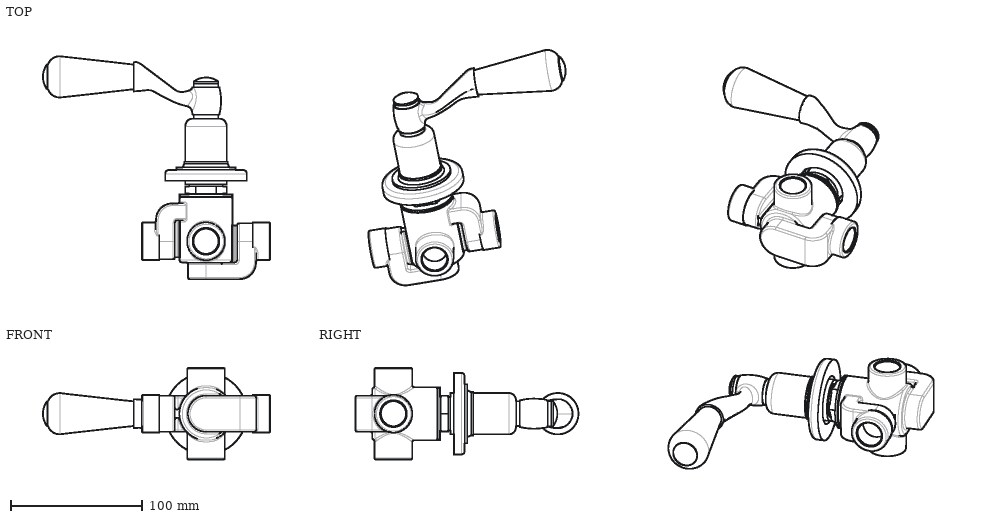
import cadquery as cq
import math


BODY_RADIUS = 40.6 / 2
BODY_BOTTOM = -16.2
BODY_TOP = 35.7
BODY_BOTTOM_ROUND = 2.0
RIM_GROOVE_RADIUS = 38.6 / 2
RIM_GROOVE_BOTTOM = 33.4
RIM_GROOVE_HEIGHT = 0.6

PORT_RADIUS = 28.9 / 2
PORT_ROUND = 1.25
BORE_RADIUS = 19.05 / 2
BORE_DEPTH = 16.0
BORE_CHAMFER = 0.75
CROSS_PORT_REACH = 70.0 / 2
SIDE_PORT_REACH = 49.0
SIDE_PORT_START = 35.6
JOINT_FILLET = 1.4
ELBOW_JOINT_FILLET = 1.3

ELBOW_HALF_WIDTH = 13.8
ELBOW_INNER_X = 23.7
ELBOW_OUTER_X = 38.2
ELBOW_INNER_Y = -BODY_BOTTOM
ELBOW_OUTER_Y = 29.0
ELBOW_OUTER_BEND = 12.6
ELBOW_INNER_BEND = 2.0
ELBOW_EDGE_ROUND = 1.5

WEB_THICKNESS = 6.35
WEB_END_Y = 12.2
WEB_FILLET = 1.4
WEB_OVERLAP = 1.0

SPINDLE_RADIUS = 25.7 / 2
NUT_BOTTOM = 36.3
NUT_TOP = 41.8
NUT_CORNER_DIAMETER = 31.75

BONNET_RADIUS = 31.75 / 2
BONNET_BOTTOM = 43.5
BONNET_TOP = 93.6
BONNET_ROUND = 5.7
SHOULDER_RADIUS = 22.6
FLARE_BOTTOM_RADIUS = 17.9
FLARE_BOTTOM = 56.4
BEAD_RADIUS = 33.3 / 2
BEAD_BOTTOM = 59.2
BEAD_TOP = 60.8

FLANGE_RADIUS = 31.2
FLANGE_BOTTOM = 46.1
FLANGE_TOP = 54.4
FLANGE_ROUND = 2.7
FLANGE_HOLE_RADIUS = 37.0 / 2

HUB_NECK_RADIUS = 19.05 / 2
HUB_END_RADIUS = 10.25
HUB_BELLY_RADIUS = 11.6
HUB_BOTTOM = 96.5
HUB_TOP = 117.7
HUB_NECK_TOP = 120.3
BUTTON_EDGE = 121.8
BUTTON_TOP = 125.05

GRIP_MAX_RADIUS = 31.75 / 2
OVERALL_LENGTH_Y = 170.28
GRIP_AXIS_Y = OVERALL_LENGTH_Y - ELBOW_OUTER_Y - GRIP_MAX_RADIUS
GRIP_INNER_X = -55.3
GRIP_INNER_RADIUS = 19.05 / 2
GRIP_WIDEST_X = -111.6
GRIP_END_ROUND = 9.525
GRIP_ROUND_MID_ANGLE = 120.0
CAP_RADIUS = 19.05 / 2
CAP_EDGE_X = -121.3
OVERALL_LENGTH_X = 173.52
CAP_TIP_X = SIDE_PORT_REACH - OVERALL_LENGTH_X

COLLAR_RADIUS = 22.3 / 2
COLLAR_END_X = -51.5
COLLAR_END_RADIUS = 10.9
ARM_WIDTH = 15.0
ARM_JOINT_FILLET = 4.6
COLLAR_SECTIONS = [
    ((x, GRIP_AXIS_Y - radius), (x, GRIP_AXIS_Y + radius), 2 * radius)
    for x, radius in ((GRIP_INNER_X, COLLAR_RADIUS), (COLLAR_END_X, COLLAR_END_RADIUS))
]
ARM_SECTIONS = [
    ((-45.2, 115.2), (-44.2, 131.0), 22.0),
    ((-41.0, 114.7), (-35.7, 124.7), 20.5),
    ((-28.7, 108.1), (-24.1, 115.9), 16.0),
    ((-17.0, 103.5), (-17.0, 114.1), ARM_WIDTH),
    ((0.0, 103.5), (0.0, 114.1), ARM_WIDTH),
]


def turned_about_valve_axis(outline):
    return outline.close().revolve(360, (0, 0, 0), (0, 1, 0))


def cylinder_along_x(radius, start, end):
    return cq.Workplane("YZ").workplane(offset=start).circle(radius).extrude(end - start)


def cylinder_along_y(radius, start, end):
    return cq.Workplane("XZ").workplane(offset=-start).circle(radius).extrude(start - end)


def half_turn(part):
    return part.rotate((0, 0, 0), (0, 0, 1), 180)


def elbow_blank():
    """Sharp-edged bent arm on the +X, -Y side, from the valve axis to the X axis."""
    blank = (
        cq.Workplane("XY")
        .moveTo(0, -ELBOW_OUTER_Y)
        .lineTo(ELBOW_OUTER_X, -ELBOW_OUTER_Y)
        .lineTo(ELBOW_OUTER_X, 0)
        .lineTo(ELBOW_INNER_X, 0)
        .lineTo(ELBOW_INNER_X, -ELBOW_INNER_Y)
        .lineTo(0, -ELBOW_INNER_Y)
        .close()
        .extrude(ELBOW_HALF_WIDTH, both=True)
    )
    outer_corner = cq.selectors.NearestToPointSelector((ELBOW_OUTER_X, -ELBOW_OUTER_Y, 0))
    inner_corner = cq.selectors.NearestToPointSelector((ELBOW_INNER_X, -ELBOW_INNER_Y, 0))
    blank = blank.edges("|Z").edges(outer_corner).fillet(ELBOW_OUTER_BEND)
    blank = blank.edges("|Z").edges(inner_corner).fillet(ELBOW_INNER_BEND)
    return blank.union(cylinder_along_x(ELBOW_HALF_WIDTH, ELBOW_INNER_X, ELBOW_OUTER_X))


def round_elbow(blank):
    """Round both edge loops; each fillet runs on along the tangent edges from the leg's end arc."""
    for face_x in (ELBOW_INNER_X, ELBOW_OUTER_X):
        end_arc = cq.selectors.NearestToPointSelector((face_x, ELBOW_HALF_WIDTH, 0))
        blank = blank.edges("%CIRCLE").edges(end_arc).fillet(ELBOW_EDGE_ROUND)
    return blank


def foot_joint():
    """Slice of the elbow against the flat bottom of the body, with a concave fillet around it."""
    flat_radius = BODY_RADIUS - BODY_BOTTOM_ROUND
    stadium = (
        cq.Workplane("XZ", origin=(0, -ELBOW_OUTER_Y, 0))
        .moveTo(ELBOW_OUTER_X, ELBOW_HALF_WIDTH)
        .lineTo(0, ELBOW_HALF_WIDTH)
        .threePointArc((-ELBOW_HALF_WIDTH, 0), (0, -ELBOW_HALF_WIDTH))
        .lineTo(ELBOW_OUTER_X, -ELBOW_HALF_WIDTH)
        .close()
        .extrude(ELBOW_INNER_Y - ELBOW_OUTER_Y)
    )
    plate_reach = 2 * ELBOW_OUTER_X
    plate = cq.Workplane("XZ", origin=(0, BODY_BOTTOM, 0)).rect(plate_reach, plate_reach)
    plate = plate.extrude(-JOINT_FILLET)
    joint_edges = cq.selectors.BoxSelector(
        (-ELBOW_OUTER_X / 2, BODY_BOTTOM - JOINT_FILLET / 2, -ELBOW_HALF_WIDTH - JOINT_FILLET),
        (ELBOW_OUTER_X - JOINT_FILLET, BODY_BOTTOM + JOINT_FILLET / 2, ELBOW_HALF_WIDTH + JOINT_FILLET),
    )
    filleted = plate.union(stadium).edges(joint_edges).fillet(JOINT_FILLET)
    return filleted.intersect(cylinder_along_y(flat_radius, BODY_BOTTOM - ELBOW_EDGE_ROUND, BODY_BOTTOM))


def footed_elbow():
    """Elbow with a round foot; under the body its upper edges stay sharp to meet the flat bottom."""
    foot = cylinder_along_y(ELBOW_HALF_WIDTH, -ELBOW_OUTER_Y, -ELBOW_INNER_Y)
    blank = elbow_blank().union(foot)
    return round_elbow(blank).union(foot_joint())


def cross_ports():
    ports = cq.Workplane("XY").circle(PORT_RADIUS).extrude(CROSS_PORT_REACH, both=True)
    return ports.faces("<Z or >Z").edges().fillet(PORT_ROUND)


def side_port():
    port = cylinder_along_x(PORT_RADIUS, SIDE_PORT_START, SIDE_PORT_REACH)
    return port.faces(">X").edges().fillet(PORT_ROUND)


def join_side_port(arm):
    """Add the port to an elbow, with a fillet where the port stands out of the elbow's outer face."""
    arm = arm.union(side_port())
    port_joint = cq.selectors.BoxSelector(
        (ELBOW_OUTER_X - ELBOW_EDGE_ROUND / 2, -PORT_RADIUS, -PORT_RADIUS),
        (ELBOW_OUTER_X + ELBOW_EDGE_ROUND / 2, -PORT_RADIUS / 3, PORT_RADIUS),
    )
    return arm.edges(port_joint).edges("not %LINE").fillet(ELBOW_JOINT_FILLET)


def port_bore(plane, reach):
    bore = cq.Workplane(plane).workplane(offset=reach - BORE_DEPTH).circle(BORE_RADIUS).extrude(BORE_DEPTH)
    mouth = (
        cq.Workplane(plane)
        .workplane(offset=reach - BORE_CHAMFER)
        .circle(BORE_RADIUS)
        .workplane(offset=BORE_CHAMFER)
        .circle(BORE_RADIUS + BORE_CHAMFER)
        .loft()
    )
    return bore.union(mouth)


def web():
    """Thin wall between the body and the elbow leg, with a concave fillet at each end of its section."""
    half = WEB_THICKNESS / 2
    flared_half = half + WEB_FILLET
    root_x = BODY_RADIUS - WEB_OVERLAP
    diagonal = WEB_FILLET * (1 - math.sqrt(0.5))
    body_end = BODY_RADIUS + WEB_FILLET
    leg_end = ELBOW_INNER_X - WEB_FILLET
    half_section = (
        cq.Workplane("XZ", origin=(0, -ELBOW_INNER_Y, 0))
        .moveTo(root_x, 0)
        .lineTo(root_x, flared_half)
        .lineTo(BODY_RADIUS, flared_half)
        .threePointArc((BODY_RADIUS + diagonal, half + diagonal), (body_end, half))
        .lineTo(leg_end, half)
        .threePointArc((ELBOW_INNER_X - diagonal, half + diagonal), (ELBOW_INNER_X, flared_half))
        .lineTo(ELBOW_INNER_X + WEB_OVERLAP, flared_half)
        .lineTo(ELBOW_INNER_X + WEB_OVERLAP, 0)
        .close()
        .extrude(-ELBOW_INNER_Y - WEB_END_Y)
    )
    return half_section.union(half_section.mirror("XY"))


def build_valve_body():
    body = cylinder_along_y(BODY_RADIUS, BODY_BOTTOM, BODY_TOP)
    body = body.faces("<Y").edges().fillet(BODY_BOTTOM_ROUND)
    groove_top = RIM_GROOVE_BOTTOM + RIM_GROOVE_HEIGHT
    groove_floor = cylinder_along_y(RIM_GROOVE_RADIUS, RIM_GROOVE_BOTTOM, groove_top)
    rim_groove = cylinder_along_y(BODY_RADIUS, RIM_GROOVE_BOTTOM, groove_top).cut(groove_floor)
    body = body.cut(rim_groove).union(cross_ports())
    body = body.edges("%BSPLINE").fillet(JOINT_FILLET)
    body = body.union(half_turn(join_side_port(round_elbow(elbow_blank()))))
    arm_joint = cq.selectors.BoxSelector(
        (-BODY_RADIUS, ELBOW_INNER_Y - ELBOW_EDGE_ROUND, -BODY_RADIUS),
        (-BODY_RADIUS / 2, ELBOW_OUTER_Y + ELBOW_EDGE_ROUND, BODY_RADIUS),
    )
    body = body.edges(arm_joint).fillet(ELBOW_JOINT_FILLET)
    body = body.union(join_side_port(footed_elbow()))
    body = body.union(web()).union(half_turn(web()))
    for plane, reach in (("XY", CROSS_PORT_REACH), ("YZ", SIDE_PORT_REACH)):
        bore = port_bore(plane, reach)
        body = body.cut(bore).cut(bore.rotate((0, 0, 0), (0, 1, 0), 180))
    return body


valve_body = build_valve_body()


def build_spindle():
    stem = cylinder_along_y(SPINDLE_RADIUS, BODY_TOP, BONNET_BOTTOM)
    nut = cq.Workplane("XZ").workplane(offset=-NUT_BOTTOM).polygon(6, NUT_CORNER_DIAMETER)
    return stem.union(nut.extrude(NUT_BOTTOM - NUT_TOP))


spindle = build_spindle()


def build_bonnet():
    barrel = (
        cq.Workplane("XY")
        .moveTo(0, BONNET_BOTTOM)
        .lineTo(BONNET_RADIUS, BONNET_BOTTOM)
        .lineTo(BONNET_RADIUS, FLANGE_TOP)
        .lineTo(SHOULDER_RADIUS, FLANGE_TOP)
        .lineTo(SHOULDER_RADIUS, FLARE_BOTTOM)
        .lineTo(FLARE_BOTTOM_RADIUS, FLARE_BOTTOM)
        .lineTo(BEAD_RADIUS, BEAD_BOTTOM)
        .lineTo(BEAD_RADIUS, BEAD_TOP)
        .lineTo(BONNET_RADIUS, BEAD_TOP)
        .lineTo(BONNET_RADIUS, BONNET_TOP)
        .lineTo(0, BONNET_TOP)
    )
    return turned_about_valve_axis(barrel).faces(">Y").edges().fillet(BONNET_ROUND)


bonnet = build_bonnet()


def build_flange():
    disc = cylinder_along_y(FLANGE_RADIUS, FLANGE_BOTTOM, FLANGE_TOP)
    disc = disc.faces(">Y").edges().fillet(FLANGE_ROUND)
    return disc.cut(cylinder_along_y(FLANGE_HOLE_RADIUS, FLANGE_BOTTOM, FLANGE_TOP))


flange = build_flange()


def lever_hub():
    outline = (
        cq.Workplane("XY")
        .moveTo(0, BONNET_TOP)
        .lineTo(HUB_NECK_RADIUS, BONNET_TOP)
        .lineTo(HUB_NECK_RADIUS, HUB_BOTTOM)
        .lineTo(HUB_END_RADIUS, HUB_BOTTOM)
        .threePointArc((HUB_BELLY_RADIUS, (HUB_BOTTOM + HUB_TOP) / 2), (HUB_END_RADIUS, HUB_TOP))
        .lineTo(HUB_NECK_RADIUS, HUB_TOP)
        .lineTo(HUB_NECK_RADIUS, HUB_NECK_TOP)
        .lineTo(0, HUB_NECK_TOP)
    )
    return turned_about_valve_axis(outline)


def arm_section(bottom, top, width):
    """Elliptical cross-section wire standing on the line from bottom to top."""
    rise_x = top[0] - bottom[0]
    rise_y = top[1] - bottom[1]
    height = math.hypot(rise_x, rise_y)
    plane = cq.Plane(
        origin=((bottom[0] + top[0]) / 2, (bottom[1] + top[1]) / 2, 0),
        xDir=(0, 0, -1),
        normal=(rise_y, -rise_x, 0),
    )
    return cq.Workplane(plane).ellipse(width / 2, height / 2).wire().val()


def lever_arm():
    sections = [arm_section(*section) for section in COLLAR_SECTIONS + ARM_SECTIONS]
    return cq.Workplane(cq.Solid.makeLoft(sections))


def build_lever():
    lever = lever_hub().union(lever_arm())
    arm_joint = cq.selectors.BoxSelector(
        (-HUB_BELLY_RADIUS, HUB_BOTTOM, -HUB_NECK_RADIUS),
        (-HUB_BELLY_RADIUS / 2, HUB_TOP, HUB_NECK_RADIUS),
    )
    return lever.edges(arm_joint).fillet(ARM_JOINT_FILLET)


lever = build_lever()


def build_button():
    rise = BUTTON_TOP - BUTTON_EDGE
    dome_radius = (HUB_NECK_RADIUS**2 + rise**2) / (2 * rise)
    half_chord = HUB_NECK_RADIUS / 2
    half_chord_y = BUTTON_TOP - dome_radius + math.sqrt(dome_radius**2 - half_chord**2)
    outline = (
        cq.Workplane("XY")
        .moveTo(0, HUB_NECK_TOP)
        .lineTo(HUB_NECK_RADIUS, HUB_NECK_TOP)
        .lineTo(HUB_NECK_RADIUS, BUTTON_EDGE)
        .threePointArc((half_chord, half_chord_y), (0, BUTTON_TOP))
    )
    return turned_about_valve_axis(outline)


button = build_button()


def turned_about_grip_axis(outline):
    return outline.close().revolve(360, (0, 0, 0), (1, 0, 0)).translate((0, GRIP_AXIS_Y, 0))


ROUND_CENTRE_RADIUS = GRIP_MAX_RADIUS - GRIP_END_ROUND
CAP_SEAT_X = GRIP_WIDEST_X - math.sqrt(GRIP_END_ROUND**2 - (CAP_RADIUS - ROUND_CENTRE_RADIUS) ** 2)


def build_grip():
    mid_angle = math.radians(GRIP_ROUND_MID_ANGLE)
    outline = (
        cq.Workplane("XY")
        .moveTo(GRIP_INNER_X, 0)
        .lineTo(GRIP_INNER_X, GRIP_INNER_RADIUS)
        .lineTo(GRIP_WIDEST_X, GRIP_MAX_RADIUS)
        .threePointArc(
            (
                GRIP_WIDEST_X + GRIP_END_ROUND * math.cos(mid_angle),
                ROUND_CENTRE_RADIUS + GRIP_END_ROUND * math.sin(mid_angle),
            ),
            (CAP_SEAT_X, CAP_RADIUS),
        )
        .lineTo(CAP_SEAT_X, 0)
    )
    return turned_about_grip_axis(outline)


def build_cap():
    rise = CAP_EDGE_X - CAP_TIP_X
    dome_radius = (CAP_RADIUS**2 + rise**2) / (2 * rise)
    half_chord = CAP_RADIUS / 2
    half_chord_x = CAP_TIP_X + dome_radius - math.sqrt(dome_radius**2 - half_chord**2)
    outline = (
        cq.Workplane("XY")
        .moveTo(CAP_SEAT_X, 0)
        .lineTo(CAP_SEAT_X, CAP_RADIUS)
        .lineTo(CAP_EDGE_X, CAP_RADIUS)
        .threePointArc((half_chord_x, half_chord), (CAP_TIP_X, 0))
    )
    return turned_about_grip_axis(outline)


grip = build_grip()
cap = build_cap()

bodies = [valve_body, spindle, bonnet, flange, lever, button, grip, cap]
result = cq.Compound.makeCompound([body.solids().val() for body in bodies])